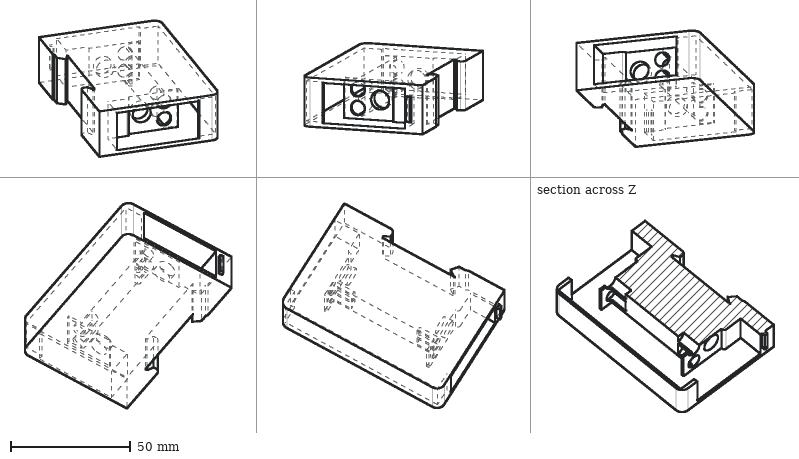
import cadquery as cq


length = 78.0
height = 53.5
width = 21.0
corner_radius = 3.6
mid_x = length / 2
mid_z = width / 2

notch_depth = 5.4
notch_start = 21.0
notch_end = 56.4
latch_root = 21.65
latch_tip = (24.4, 3.5)
latch_foot = 21.9
latch_relief = 0.5
relief_start = 17.6
relief_end = 18.8
undercut_gap = 0.1
hook_x = 53.6
hook_top = 3.2
hook_root_y = 4.5
hook_radius = 1.75

end_wall = 2.0
side_wall = 1.9
top_wall = 1.3
window_bottom = 7.9
window_top = 44.4
cavity_top = height - top_wall
cavity_width = width - 2 * side_wall

face_depth = 13.5
nose_depth = 11.95
nose_top = 17.5
nose_radius = 1.0
block_top = 33.4
lip_top = 39.5
lip_thickness = 1.2

wire_hole_diameter = 6.1
wire_hole_y = block_top
wire_hole_pitch = 8.0
wire_hole_depth = 9.55
screw_hole_diameter = 8.0
screw_hole_y = 23.5
screw_hole_depth = 4.0

tab_reach = 1.6
tab_bottom = 4.85
tab_top = 6.8
tab_width = 10.75
tab_taper = 0.3


def housing_block():
    """Solid outer body with the rail notch in its lower edge."""
    hook_bevel = hook_radius * (1 - 0.5 ** 0.5)
    outline = (
        cq.Workplane("XY")
        .lineTo(relief_start, 0)
        .lineTo(relief_end, latch_relief)
        .lineTo(latch_foot, latch_relief)
        .lineTo(*latch_tip)
        .lineTo(latch_root, notch_depth - undercut_gap)
        .lineTo(notch_start, notch_depth - undercut_gap)
        .lineTo(notch_start, notch_depth)
        .lineTo(notch_end, notch_depth)
        .lineTo(notch_end, hook_root_y)
        .lineTo(hook_x, hook_top)
        .lineTo(hook_x, hook_radius)
        .threePointArc((hook_x + hook_bevel, hook_bevel), (hook_x + hook_radius, 0))
        .lineTo(length, 0)
        .lineTo(length, height - corner_radius)
        .tangentArcPoint((-corner_radius, corner_radius))
        .lineTo(corner_radius, height)
        .tangentArcPoint((-corner_radius, -corner_radius))
        .close()
    )
    return outline.extrude(width)


def cavity_slab(x_start, x_end, y_top):
    """Box spanning the cavity width, from the window bottom up to y_top."""
    return (
        cq.Workplane("XY", origin=(0, 0, side_wall))
        .moveTo(x_start, window_bottom)
        .lineTo(x_end, window_bottom)
        .lineTo(x_end, y_top)
        .lineTo(x_start, y_top)
        .close()
        .extrude(cavity_width)
    )


def end_hole(diameter, depth, y, z):
    """Blind hole drilled along X into the insert's end face."""
    return (
        cq.Workplane("YZ", origin=(face_depth, y, z))
        .circle(diameter / 2)
        .extrude(depth)
    )


def insert_half():
    """One end of the terminal insert, reaching to the middle of the housing."""
    nose = cavity_slab(nose_depth, mid_x, nose_top)
    nose = nose.edges("<X and >Y").fillet(nose_radius)
    lip = cavity_slab(face_depth, face_depth + lip_thickness, lip_top)
    half = cavity_slab(face_depth, mid_x, block_top).union(lip).union(nose)
    for side in (-1, 1):
        hole_z = mid_z + side * wire_hole_pitch / 2
        half = half.cut(end_hole(wire_hole_diameter, wire_hole_depth, wire_hole_y, hole_z))
    return half.cut(end_hole(screw_hole_diameter, screw_hole_depth, screw_hole_y, mid_z))


def release_tab():
    """Small bar on the end face, thinning outward along its sloped underside."""
    return (
        cq.Workplane("XY", origin=(0, 0, mid_z - tab_width / 2))
        .moveTo(0, tab_bottom)
        .lineTo(0, tab_top)
        .lineTo(-tab_reach, tab_top)
        .lineTo(-tab_reach, tab_bottom + tab_taper)
        .close()
        .extrude(tab_width)
    )


windows = cavity_slab(0, length, window_top)
cavity = cavity_slab(end_wall, length - end_wall, cavity_top)
near_insert = insert_half()
far_insert = near_insert.mirror("YZ", (mid_x, 0, 0))

result = (
    housing_block()
    .cut(windows)
    .cut(cavity)
    .union(near_insert)
    .union(far_insert)
    .union(release_tab())
)